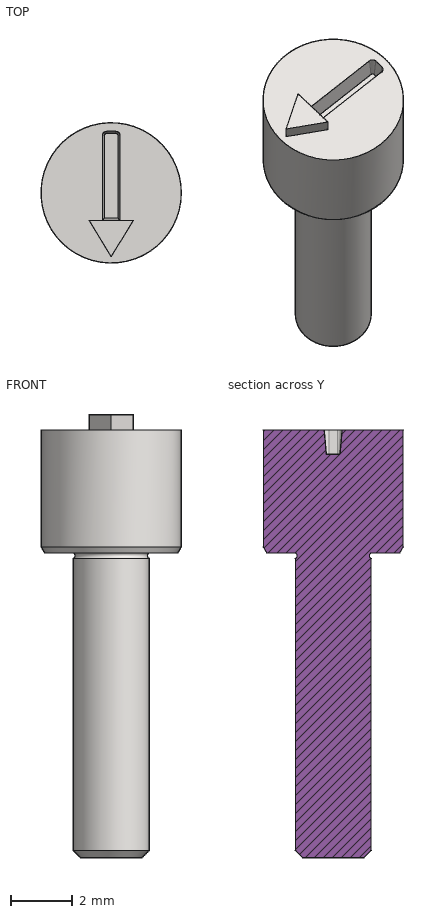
import cadquery as cq

total_height = 14.5
arrow_height = 0.5
head_top = total_height - arrow_height
head_height = 4.03
head_bottom = head_top - head_height

head_diameter = 4.6
head_chamfer_height = 0.2
head_chamfer_width = 0.12
shank_diameter = 2.5
tip_chamfer = 0.25
groove_height = 0.17
groove_depth = 0.06

arrow_width = 1.45
arrow_base_y = -0.9
arrow_tip_y = -2.09
slot_width = 0.58
slot_end_y = 2.02
slot_depth = 0.8
slot_corner_radius = 0.15
slot_draft_angle = 5


def turned_body():
    """Chamfered head on a shank with a round groove under the head, revolved about Z."""
    head_radius = head_diameter / 2
    shank_radius = shank_diameter / 2
    return (
        cq.Workplane("XZ")
        .lineTo(shank_radius - tip_chamfer, 0)
        .lineTo(shank_radius, tip_chamfer)
        .lineTo(shank_radius, head_bottom - groove_height)
        .threePointArc(
            (shank_radius - groove_depth, head_bottom - groove_height / 2),
            (shank_radius, head_bottom),
        )
        .lineTo(head_radius - head_chamfer_width, head_bottom)
        .lineTo(head_radius, head_bottom + head_chamfer_height)
        .lineTo(head_radius, head_top)
        .lineTo(0, head_top)
        .close()
        .revolve(360, (0, 0, 0), (0, 1, 0))
    )


def arrow_point():
    """Raised triangle pointing toward -Y."""
    half_width = arrow_width / 2
    corners = [(-half_width, arrow_base_y), (half_width, arrow_base_y), (0, arrow_tip_y)]
    return cq.Workplane("XY", origin=(0, 0, head_top)).polyline(corners).close().extrude(arrow_height)


def arrow_shaft_slot():
    """Sunken arrow shaft with drafted walls, rounded at the corners of its far end."""
    slot_length = slot_end_y - arrow_base_y
    slot_center_y = (slot_end_y + arrow_base_y) / 2
    outline = (
        cq.Sketch()
        .rect(slot_width, slot_length)
        .vertices(">Y")
        .fillet(slot_corner_radius)
    )
    return (
        cq.Workplane("XY", origin=(0, slot_center_y, head_top))
        .placeSketch(outline)
        .extrude(-slot_depth, taper=slot_draft_angle)
    )


result = turned_body().cut(arrow_shaft_slot()).union(arrow_point())